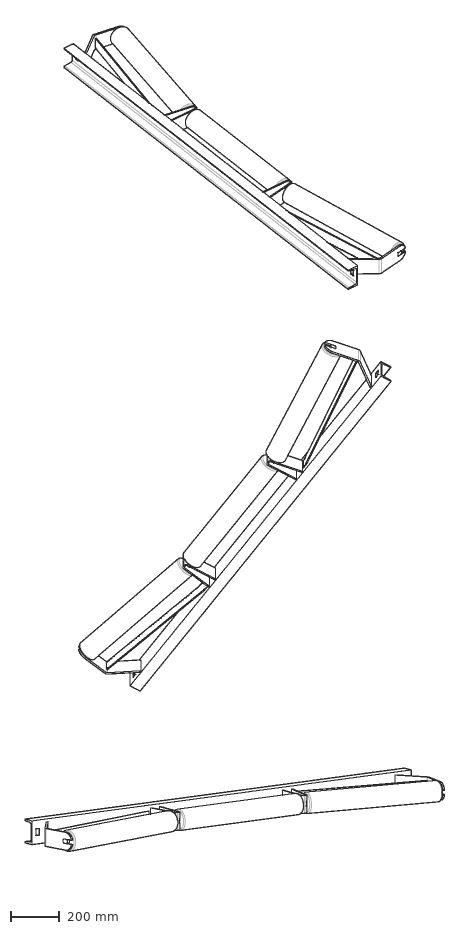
import cadquery as cq
import math

channel_length = 1900
channel_height = 100
flange_depth = 50
web_thickness = 6
flange_thickness = 8.5
flange_taper = 0.08
root_radius = 7
toe_radius = 4.5
slot_width = 18
slot_height = 28
slot_spacing = 1840

roller_diameter = 89
roller_length = 600
roller_edge_radius = 5
shaft_diameter = 25
shaft_flat_width = 18
end_gap = 4
centre_axis_y = 168.5
trough_angle = 10
wing_start_x = 338
wing_start_y = 170.4

bracket_width = 75
inner_plate = 6
inner_bracket_top_y = 195
inner_bend_radius = 10
outer_plate = 8
outer_bend_radius = 6
outer_bend_x = 961.23
strut_angle = 37
brace_thickness = 5
brace_width = 50
brace_top_x = 946
brace_top_y = 165
brace_foot_x = 376

tilt = math.radians(trough_angle)
roller_radius = roller_diameter / 2
mount_y = flange_depth


def wing_point(along, across):
    """XY point given by distances along and across the right wing roller's axis."""
    x = wing_start_x + along * math.cos(tilt) - across * math.sin(tilt)
    y = wing_start_y + along * math.sin(tilt) + across * math.cos(tilt)
    return x, y


def wing_cross_x(along, y):
    """X, at height y, of the plane square to the right wing roller's axis."""
    base_x, base_y = wing_point(along, 0)
    return base_x - (y - base_y) * math.tan(tilt)


def extrude_plate(points, width):
    """Plate with the given XY outline, centred on Z = 0."""
    return cq.Workplane("XY").polyline(points).close().extrude(width / 2, both=True)


def long_edges_at(y, z):
    """Selector for the two channel-long edges at the given Y and at Z = +z and -z."""
    margin = 1
    return cq.selectors.BoxSelector(
        (-channel_length, y - margin, -z - margin), (channel_length, y + margin, z + margin)
    )


def make_channel():
    """Tapered-flange channel with its web at the back and a slot near each end."""
    half_height = channel_height / 2
    web_front_y = flange_depth - web_thickness
    toe_thickness = flange_thickness - flange_taper * flange_depth / 2
    root_thickness = toe_thickness + flange_taper * web_front_y
    outline = [
        (flange_depth, -half_height),
        (0, -half_height),
        (0, toe_thickness - half_height),
        (web_front_y, root_thickness - half_height),
        (web_front_y, half_height - root_thickness),
        (0, half_height - toe_thickness),
        (0, half_height),
        (flange_depth, half_height),
    ]
    body = cq.Workplane("YZ").polyline(outline).close().extrude(channel_length / 2, both=True)
    roots = body.edges("|X").edges(long_edges_at(web_front_y, half_height - root_thickness))
    body = roots.fillet(root_radius)
    toes = body.edges("|X").edges(long_edges_at(0, half_height - toe_thickness))
    body = toes.fillet(toe_radius)
    slots = (
        cq.Workplane("XZ", origin=(0, flange_depth, 0))
        .rarray(slot_spacing, 1, 2, 1)
        .rect(slot_width, slot_height)
        .extrude(web_thickness)
    )
    return body.cut(slots)


def make_flatted_shaft(length):
    """Round bar along +X from the origin with two flats facing up and down in Z."""
    bar = cq.Workplane("YZ").circle(shaft_diameter / 2).extrude(length)
    flats = cq.Workplane("XY").box(length, shaft_diameter, shaft_flat_width, centered=(False, True, True))
    return bar.intersect(flats)


def make_roller(start_plate, end_plate):
    """Roller along +X from the origin; flatted shaft ends run through both plates."""
    shell = cq.Workplane("YZ").circle(roller_radius).extrude(roller_length)
    shell = shell.edges().fillet(roller_edge_radius)
    shaft_start = -end_gap - start_plate
    shaft_length = roller_length + 2 * end_gap + start_plate + end_plate
    shaft = make_flatted_shaft(shaft_length).translate((shaft_start, 0, 0))
    return shell.union(shaft)


def make_shaft_slot(length):
    """Cutter along +X: seat for a flatted shaft, open toward +Y."""
    opening = cq.Workplane("XY").box(length, roller_radius, shaft_flat_width, centered=(False, False, True))
    return make_flatted_shaft(length).union(opening)


def place_on_wing(body, along):
    """Move a body built along +X onto the right wing roller's axis."""
    x, y = wing_point(along, 0)
    return body.rotate((0, 0, 0), (0, 0, 1), trough_angle).translate((x, y, 0))


def make_inner_bracket():
    """Inverted U between the centre roller and the right wing roller."""
    left_x = roller_length / 2 + end_gap
    cavity_top_y = inner_bracket_top_y - inner_plate
    outer = extrude_plate([
        (left_x, mount_y),
        (wing_cross_x(-end_gap, mount_y), mount_y),
        (wing_cross_x(-end_gap, inner_bracket_top_y), inner_bracket_top_y),
        (left_x, inner_bracket_top_y),
    ], bracket_width)
    outer = outer.edges("|Z and >Y").fillet(inner_bend_radius)
    cavity_left_x = left_x + inner_plate
    cavity_along = -end_gap - inner_plate
    cavity = extrude_plate([
        (cavity_left_x, mount_y),
        (wing_cross_x(cavity_along, mount_y), mount_y),
        (wing_cross_x(cavity_along, cavity_top_y), cavity_top_y),
        (cavity_left_x, cavity_top_y),
    ], bracket_width)
    cavity = cavity.edges("|Z and >Y").fillet(inner_bend_radius - inner_plate)
    centre_slot = make_shaft_slot(inner_plate).translate((left_x, centre_axis_y, 0))
    wing_slot = place_on_wing(make_shaft_slot(inner_plate), cavity_along)
    return outer.cut(cavity).cut(centre_slot).cut(wing_slot)


def make_outer_bracket():
    """Rounded end plate of the right wing roller, bent inward to a strut on the channel."""
    end_radius = bracket_width / 2
    inner_along = roller_length + end_gap
    outer_along = inner_along + outer_plate
    strut = math.radians(strut_angle)
    outer_x0, outer_y0 = wing_point(outer_along, 0)
    bend_y = outer_y0 - (outer_bend_x - outer_x0) / math.tan(tilt)
    fold = (tilt + strut) / 2
    bisector = (strut - tilt) / 2
    corner_reach = outer_plate / math.cos(fold)
    inner_bend = (
        outer_bend_x - corner_reach * math.cos(bisector),
        bend_y + corner_reach * math.sin(bisector),
    )
    foot_x = outer_bend_x - (bend_y - mount_y) * math.tan(strut)
    body = extrude_plate([
        wing_point(inner_along, end_radius),
        wing_point(outer_along, end_radius),
        (outer_bend_x, bend_y),
        (foot_x, mount_y),
        (foot_x - outer_plate / math.cos(strut), mount_y),
        inner_bend,
    ], bracket_width)
    outer_edge = cq.selectors.NearestToPointSelector((outer_bend_x, bend_y, 0))
    body = body.edges("|Z").edges(outer_edge).fillet(outer_bend_radius + outer_plate)
    inner_edge = cq.selectors.NearestToPointSelector((*inner_bend, 0))
    body = body.edges("|Z").edges(inner_edge).fillet(outer_bend_radius)
    corners = cq.Workplane("XY").box(outer_plate, end_radius, bracket_width, centered=(False, False, True))
    corners = corners.cut(cq.Workplane("YZ").circle(end_radius).extrude(outer_plate))
    slot = make_shaft_slot(outer_plate)
    return body.cut(place_on_wing(corners.union(slot), inner_along))


def make_brace(outer_bracket):
    """Flat strip from the right outer bracket down to the channel."""
    slope = math.atan2(brace_top_y - mount_y, brace_top_x - brace_foot_x)
    rise = brace_thickness / 2 / math.cos(slope)
    run = brace_thickness / 2 / math.sin(slope)
    strip = extrude_plate([
        (brace_foot_x - run, mount_y),
        (brace_foot_x + run, mount_y),
        (brace_top_x, brace_top_y - rise),
        (brace_top_x, brace_top_y + rise),
    ], brace_width)
    return strip.cut(outer_bracket)


channel = make_channel()
centre_roller = make_roller(inner_plate, inner_plate).translate((-roller_length / 2, centre_axis_y, 0))
wing_roller = place_on_wing(make_roller(inner_plate, outer_plate), 0)
inner_bracket = make_inner_bracket()
outer_bracket = make_outer_bracket()
brace = make_brace(outer_bracket)

bodies = [channel.val(), centre_roller.val()]
for side_part in (wing_roller, inner_bracket, outer_bracket, brace):
    bodies.append(side_part.val())
    bodies.append(side_part.mirror("YZ").val())

result = cq.Compound.makeCompound(bodies)